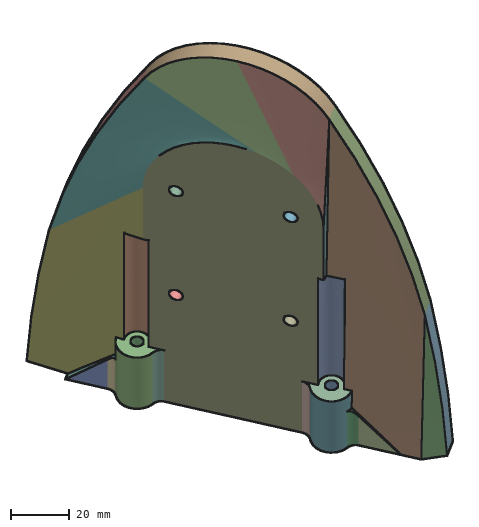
import cadquery as cq
import math


FOOT = (75.73, 0)
SHOULDER = (67.7, 70.4)
HEAD = (33.3, 160.5)
HEIGHT = 180
LOWER_ARC_POINT = (73.0, 34.0)
UPPER_ARC_POINT = (54.7, 115.5)
PLATE_THICKNESS = 7

FACE_DEPTH = 11.25
ARCH_RADIUS = 32.5
ARCH_CENTER_Z = 108.3
LEFT_PANEL_ANGLE = 75
RIGHT_PANEL_ANGLE = 48

SCREW_DIAMETER = 5
SCREW_X = 20.65
SCREW_HEIGHTS = (56.7, 110.5)

TOTAL_DEPTH = 17.51
KNUCKLE_X = 35
KNUCKLE_RADIUS = 7.5
KNUCKLE_DEPTH = TOTAL_DEPTH - KNUCKLE_RADIUS
KNUCKLE_HEIGHT = 26.6
FILLET_RADIUS = 4
PIN_DIAMETER = 4.55
GROOVE_RADIUS = 4.6
GROOVE_TOP = 81.7
GUSSET_REACH = 25.5


def at_depth(point, depth):
    """Place an (x, z) point at a distance in front of the back face."""
    return cq.Vector(point[0], -depth, point[1])


def mirrored(point):
    return (-point[0], point[1])


def arch_point(angle):
    """Point on the rounded top of the arch, with the angle measured from +X."""
    turn = math.radians(angle)
    return (ARCH_RADIUS * math.cos(turn), ARCH_CENTER_Z + ARCH_RADIUS * math.sin(turn))


def arch_arc(start_angle, end_angle):
    angles = (start_angle, (start_angle + end_angle) / 2, end_angle)
    return cq.Edge.makeThreePointArc(*[at_depth(arch_point(angle), FACE_DEPTH) for angle in angles])


def face_line(start, end):
    return cq.Edge.makeLine(at_depth(start, FACE_DEPTH), at_depth(end, FACE_DEPTH))


def head_arc_point():
    """Point halfway along the right half of the arc over the top of the plate."""
    half_width, side_z = HEAD
    rise = HEIGHT - side_z
    radius = (half_width**2 + rise**2) / (2 * rise)
    half_angle = math.asin(half_width / radius) / 2
    return (radius * math.sin(half_angle), HEIGHT - radius + radius * math.cos(half_angle))


def outline_arcs(depth):
    """Plate outline without its foot, from the lower left clockwise to the lower right."""
    top = (0, HEIGHT)
    right_half = [
        (top, head_arc_point(), HEAD),
        (HEAD, UPPER_ARC_POINT, SHOULDER),
        (SHOULDER, LOWER_ARC_POINT, FOOT),
    ]
    left_half = [tuple(mirrored(point) for point in reversed(arc)) for arc in reversed(right_half)]
    arcs = left_half + right_half
    return [cq.Edge.makeThreePointArc(*[at_depth(point, depth) for point in arc]) for arc in arcs]


def flat_face(edges):
    return cq.Face.makeFromWires(cq.Wire.assembleEdges(edges))


def outline_face(depth):
    foot_line = cq.Edge.makeLine(at_depth(FOOT, depth), at_depth(mirrored(FOOT), depth))
    return flat_face(outline_arcs(depth) + [foot_line])


def make_plate():
    return cq.Solid.extrudeLinear(outline_face(0), cq.Vector(0, -PLATE_THICKNESS, 0))


def make_taper():
    """Ruled panels from the plate outline to the arch, lopsided towards the right foot."""
    arch_left_foot = (-ARCH_RADIUS, 0)
    arch_right_foot = (ARCH_RADIUS, 0)
    crease_foot = (SHOULDER[0], 0)
    shoulder = at_depth(SHOULDER, PLATE_THICKNESS)
    head = at_depth(HEAD, PLATE_THICKNESS)

    left_line = face_line(arch_left_foot, arch_point(180))
    left_arc = arch_arc(180, LEFT_PANEL_ANGLE)
    middle_arc = arch_arc(LEFT_PANEL_ANGLE, RIGHT_PANEL_ANGLE)
    right_arc = arch_arc(RIGHT_PANEL_ANGLE, 0)
    right_line = face_line(arch_point(0), arch_right_foot)
    foot_extension = face_line(arch_right_foot, crease_foot)
    crease = cq.Edge.makeLine(shoulder, at_depth(crease_foot, FACE_DEPTH))

    inner_edges = [left_line, left_arc, middle_arc, right_arc, foot_extension, crease]
    outer_edges = outline_arcs(PLATE_THICKNESS)
    panels = [cq.Face.makeRuledSurface(outer, inner) for outer, inner in zip(outer_edges, inner_edges)]

    arch_foot = face_line(arch_right_foot, arch_left_foot)
    arch_face = flat_face([left_line, left_arc, middle_arc, right_arc, right_line, arch_foot])
    sliver_corners = [head, at_depth(arch_point(0), FACE_DEPTH), at_depth(arch_right_foot, FACE_DEPTH)]
    sliver = cq.Face.makeFromWires(cq.Wire.makePolygon(sliver_corners, close=True))
    bottom_corners = [
        at_depth(mirrored(FOOT), PLATE_THICKNESS),
        at_depth(arch_left_foot, FACE_DEPTH),
        at_depth(arch_right_foot, FACE_DEPTH),
        at_depth(crease_foot, FACE_DEPTH),
        at_depth(FOOT, PLATE_THICKNESS),
    ]
    bottom = cq.Face.makeFromWires(cq.Wire.makePolygon(bottom_corners, close=True))
    faces = panels + [arch_face, sliver, bottom, outline_face(PLATE_THICKNESS)]
    return cq.Solid.makeSolid(cq.Shell.makeShell(faces)).fix()


def upright_cylinder(x, radius, bottom, top):
    """Vertical cylinder on a hinge axis."""
    circle = cq.Workplane("XY", origin=(x, -KNUCKLE_DEPTH, bottom)).circle(radius)
    return circle.extrude(top - bottom)


def make_knuckle(side):
    """Barrel with concave fillets onto the face and a gusset sloping down to the outside."""
    x = side * KNUCKLE_X
    fillet_y = -(FACE_DEPTH + FILLET_RADIUS)
    rise = FACE_DEPTH + FILLET_RADIUS - KNUCKLE_DEPTH
    center_distance = KNUCKLE_RADIUS + FILLET_RADIUS
    fillet_dx = math.sqrt(center_distance**2 - rise**2)
    tangent_dx = fillet_dx * KNUCKLE_RADIUS / center_distance
    tangent_y = -(KNUCKLE_DEPTH + rise * KNUCKLE_RADIUS / center_distance)

    half_turn = math.atan2(fillet_dx, rise) / 2
    middle_dx = fillet_dx - FILLET_RADIUS * math.sin(half_turn)
    middle_y = fillet_y + FILLET_RADIUS * math.cos(half_turn)

    outer = side * GUSSET_REACH
    section = (
        cq.Workplane("XY", origin=(x, 0, 0))
        .moveTo(outer, -PLATE_THICKNESS)
        .lineTo(outer, -FACE_DEPTH)
        .lineTo(side * fillet_dx, -FACE_DEPTH)
        .threePointArc((side * middle_dx, middle_y), (side * tangent_dx, tangent_y))
        .threePointArc((0, -TOTAL_DEPTH), (-side * tangent_dx, tangent_y))
        .threePointArc((-side * middle_dx, middle_y), (-side * fillet_dx, -FACE_DEPTH))
        .lineTo(-side * fillet_dx, -PLATE_THICKNESS)
        .close()
        .extrude(KNUCKLE_HEIGHT)
    )
    slope_top = GUSSET_REACH - tangent_dx
    envelope = (
        cq.Workplane("XZ", origin=(x, 0, 0))
        .moveTo(-side * fillet_dx, 0)
        .lineTo(outer, 0)
        .lineTo(side * tangent_dx, slope_top)
        .lineTo(side * tangent_dx, KNUCKLE_HEIGHT)
        .lineTo(-side * fillet_dx, KNUCKLE_HEIGHT)
        .close()
        .extrude(TOTAL_DEPTH)
    )
    barrel = upright_cylinder(x, KNUCKLE_RADIUS, 0, KNUCKLE_HEIGHT)
    return section.intersect(envelope).union(barrel)


def make_screw_holes():
    places = [(x, z) for x in (-SCREW_X, SCREW_X) for z in SCREW_HEIGHTS]
    return cq.Workplane("XZ").pushPoints(places).circle(SCREW_DIAMETER / 2).extrude(TOTAL_DEPTH)


result = cq.Workplane(make_plate()).union(cq.Workplane(make_taper()))
for side in (-1, 1):
    knuckle_x = side * KNUCKLE_X
    result = result.union(make_knuckle(side))
    result = result.cut(upright_cylinder(knuckle_x, GROOVE_RADIUS, KNUCKLE_HEIGHT, GROOVE_TOP))
    result = result.cut(upright_cylinder(knuckle_x, PIN_DIAMETER / 2, 0, KNUCKLE_HEIGHT))
result = result.cut(make_screw_holes())